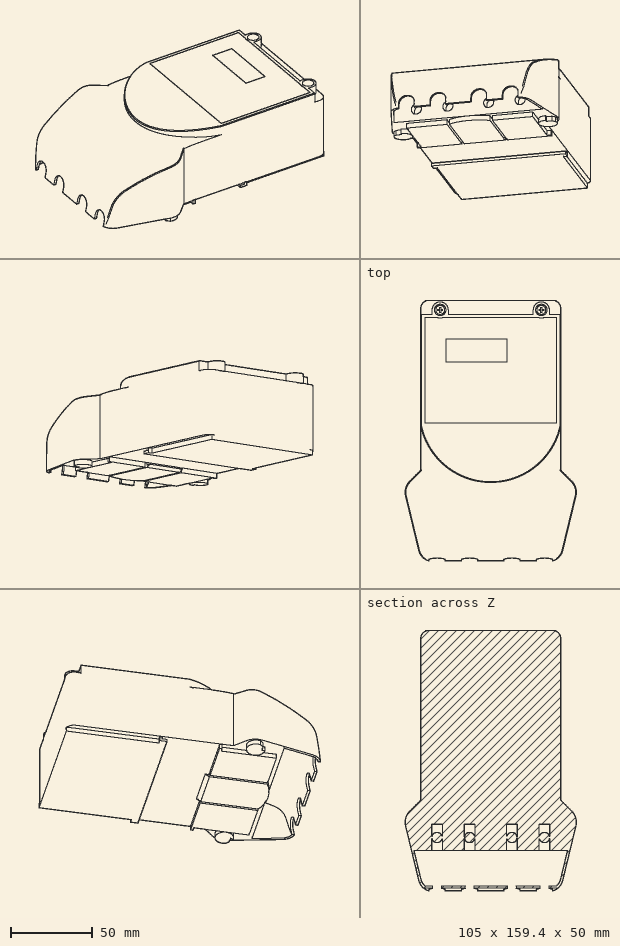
import cadquery as cq
import math

foot_height = 3.0
deck_height = 43.7
total_height = 50.0

rear_y = 79.7
front_y = -79.7
lid_rear_y = 71.1
lid_bend_y = 3.0
lid_tip_y = -31.7
hood_bend_y = -11.5
shoulder_y = -24.2

body_half_width = 42.9
rear_corner_radius = 5.1
hood_half_width_at_front = 42.4
hood_corner_half_width = 53.5
hood_outline_front_y = front_y - 0.5
shoulder_root_half_width = 31.9
shoulder_radius = 9.5
front_corner_radius = 9.2
hood_arc_end = (-68.9, 29.0)
nose_arc_end = (-76.5, 18.8)
hood_edge_chamfer = 0.5
shortest_rim = 1.6

skirt_wall = 1.6
terminal_face_y = -55.0

cable_xs = (-32.9, -12.9, 12.9, 32.9)
notch_radius = 5.0
notch_center_z = 6.4
wire_hole_radius = 3.2
wire_hole_z = 10.5
wire_hole_depth = 16.0
clamp_screw_radius = 3.2
clamp_screw_setback = 8.0

lid_tip_z = 44.0
lid_edge_chamfer = 0.5
panel_half_width = 40.3
panel_front_y = 4.6
panel_rear_y = 69.2
panel_depth = 0.2
window_left_x = -27.5
window_right_x = 10.0
window_front_y = 42.1
window_rear_y = 56.0
window_depth = 0.2

screw_x = 31.0
screw_y = 73.8
boss_radius = 5.0
screw_bore_radius = 3.5
screw_bore_depth = 9.5
screw_head_radius = 2.7
screw_head_height = 1.9
screw_head_rounding = 1.0
cross_length = 3.0
cross_width = 0.8
cross_depth = 1.1

foot_half_width = 39.9
bar_half_width = 42.4
bar_thickness = 1.6
rail_rear_y = 20.3
rail_front_y = -15.6
hook_reach = 3.0
hook_thickness = 1.6
foot_front_y = -51.7
pad_x = 45.8
pad_y = -37.5
pad_radius = 5.7
pad_step_y = -41.3
pad_bevel_x = 49.3
clip_half_width = 12.9
clip_slot_half_width = 14.4
clip_bulge = 3.3
clip_reach = 2.7


def box(x0, x1, y0, y1, z0, z1):
    """Axis-aligned block between two corners."""
    return cq.Workplane("XY").box(x1 - x0, y1 - y0, z1 - z0, centered=False).translate((x0, y0, z0))


def hood_profile():
    """Side profile: flat deck, long falling arc, nose arc and sloping skirt, run on down to the foot."""
    return (
        cq.Workplane("YZ")
        .moveTo(rear_y, 0)
        .lineTo(rear_y, deck_height)
        .lineTo(hood_bend_y, deck_height)
        .tangentArcPoint(hood_arc_end, relative=False)
        .tangentArcPoint(nose_arc_end, relative=False)
        .lineTo(front_y, foot_height)
        .lineTo(front_y, 0)
        .close()
    )


def hood_plan(inset):
    """Extruded plan outline of the terminal hood, shrunk inward by the inset."""
    corner_y = shoulder_y - (hood_corner_half_width - body_half_width)
    root_y = shoulder_y + (body_half_width - shoulder_root_half_width)
    half = [
        (shoulder_root_half_width, root_y),
        (hood_corner_half_width, corner_y),
        (hood_half_width_at_front, hood_outline_front_y),
    ]
    outline = half + [(-x, y) for x, y in reversed(half)]
    height = deck_height - foot_height
    base = cq.Workplane("XY", origin=(0, 0, foot_height))
    plan = base.polyline(outline).close().extrude(height)
    plan = plan.edges("|Z").edges("<X or >X").fillet(shoulder_radius)
    plan = plan.edges("|Z").edges("<Y").fillet(front_corner_radius)
    if inset > 0:
        plan = plan.faces("<Z").wires().toPending().offset2D(-inset).extrude(height, combine=False)
    return plan


def hood_shape(inset):
    """Terminal hood, shrunk inward on the sides, top and front by the inset."""
    profile = hood_profile()
    if inset > 0:
        profile = profile.offset2D(-inset)
    return hood_plan(inset).intersect(profile.extrude(hood_corner_half_width, both=True))


def runs_along_y(edge, min_z):
    """True for an edge longer in Y than the shortest rim edge that has its middle above min_z."""
    return edge.BoundingBox().ylen > shortest_rim and edge.positionAt(0.5).z > min_z


def make_hood():
    """Hollow terminal hood with chamfered flanks, a terminal block inside and cable notches.

    Each wire hole ends at the round flank of an upright clamp screw.
    """
    hood = hood_shape(0)
    flank_edges = [edge for edge in hood.edges().vals() if runs_along_y(edge, notch_center_z)]
    hood = hood.newObject(flank_edges).chamfer(hood_edge_chamfer)
    block = box(
        -hood_corner_half_width, hood_corner_half_width, terminal_face_y, rear_y, 0, deck_height
    )
    hood = hood.cut(hood_shape(skirt_wall).cut(block))
    for x in cable_xs:
        notch = (
            cq.Workplane("XZ", origin=(x, terminal_face_y, 0))
            .moveTo(-notch_radius, 0)
            .lineTo(-notch_radius, notch_center_z)
            .threePointArc((0, notch_center_z + notch_radius), (notch_radius, notch_center_z))
            .lineTo(notch_radius, 0)
            .close()
            .extrude(terminal_face_y - front_y)
        )
        wire_hole = (
            cq.Workplane("XZ", origin=(x, terminal_face_y, wire_hole_z))
            .circle(wire_hole_radius)
            .extrude(-wire_hole_depth)
        )
        clamp_screw = (
            cq.Workplane("XY", origin=(x, terminal_face_y + clamp_screw_setback, 0))
            .circle(clamp_screw_radius)
            .extrude(deck_height)
        )
        hood = hood.cut(notch).cut(wire_hole.cut(clamp_screw))
    return hood


def make_housing():
    """Main box under the lid; its curved front end runs into the hood."""
    plan = box(-body_half_width, body_half_width, shoulder_y, rear_y, foot_height, deck_height)
    plan = plan.edges("|Z and >Y").fillet(rear_corner_radius)
    return plan.intersect(hood_profile().extrude(body_half_width, both=True))


def make_lid():
    """Raised lid with an arched, downward curving front, a sunken panel and a display window."""
    lid_chord_depth = lid_bend_y - lid_tip_y
    arch_radius = (body_half_width**2 + lid_chord_depth**2) / (2 * lid_chord_depth)
    mid_angle = math.asin(body_half_width / arch_radius) / 2
    arch_center_y = lid_tip_y + arch_radius
    arch_mid_x = arch_radius * math.sin(mid_angle)
    arch_mid_y = arch_center_y - arch_radius * math.cos(mid_angle)
    base_z = deck_height - (total_height - deck_height) / 2
    plan = (
        cq.Workplane("XY", origin=(0, 0, base_z))
        .moveTo(body_half_width, lid_rear_y)
        .lineTo(body_half_width, lid_bend_y)
        .threePointArc((arch_mid_x, arch_mid_y), (0, lid_tip_y))
        .threePointArc((-arch_mid_x, arch_mid_y), (-body_half_width, lid_bend_y))
        .lineTo(-body_half_width, lid_rear_y)
        .close()
        .extrude(total_height - base_z)
    )
    profile = (
        cq.Workplane("YZ")
        .moveTo(lid_rear_y, base_z)
        .lineTo(lid_rear_y, total_height)
        .lineTo(lid_bend_y, total_height)
        .tangentArcPoint((lid_tip_y, lid_tip_z), relative=False)
        .lineTo(front_y, lid_tip_z)
        .lineTo(front_y, base_z)
        .close()
    )
    lid = plan.intersect(profile.extrude(body_half_width, both=True))
    edges = lid.edges().vals()
    front_rim = [edge for edge in edges if edge.geomType() != "LINE" and runs_along_y(edge, deck_height)]
    lid = lid.newObject(front_rim).chamfer(lid_edge_chamfer)
    trim = box(-body_half_width, body_half_width, lid_tip_y, lid_rear_y, base_z, total_height)
    lid = lid.intersect(trim.edges("|Y and >Z").chamfer(lid_edge_chamfer))
    panel_floor_z = total_height - panel_depth
    panel = box(
        -panel_half_width, panel_half_width, panel_front_y, panel_rear_y, panel_floor_z, total_height
    )
    window = box(
        window_left_x,
        window_right_x,
        window_front_y,
        window_rear_y,
        panel_floor_z - window_depth,
        total_height,
    )
    return lid.cut(panel).cut(window)


def screw_boss(x):
    """Round post joined to the rear of the lid by straight flanks."""
    post = cq.Workplane("XY", origin=(x, screw_y, deck_height)).circle(boss_radius)
    post = post.extrude(total_height - deck_height)
    web = box(x - boss_radius, x + boss_radius, lid_rear_y, screw_y, deck_height, total_height)
    return post.union(web)


def screw_bore(x):
    """Bore with the domed, cross-slotted screw head left standing on its floor."""
    floor_z = total_height - screw_bore_depth
    bore = cq.Workplane("XY", origin=(x, screw_y, floor_z)).circle(screw_bore_radius)
    bore = bore.extrude(screw_bore_depth)
    head = cq.Workplane("XY", origin=(x, screw_y, floor_z)).circle(screw_head_radius)
    head = head.extrude(screw_head_height).faces(">Z").edges().fillet(screw_head_rounding)
    cross_plane = cq.Workplane("XY", origin=(x, screw_y, floor_z + screw_head_height - cross_depth))
    for size in ((cross_length, cross_width), (cross_width, cross_length)):
        head = head.cut(cross_plane.rect(*size).extrude(cross_depth))
    return bore.cut(head)


def make_rear_foot():
    """Rear plate ending in a bar with a hook that reaches under the rail."""
    plate = box(-foot_half_width, foot_half_width, rail_rear_y, rear_y, 0, foot_height)
    bar = box(-bar_half_width, bar_half_width, rail_rear_y, rail_rear_y + bar_thickness, 0, foot_height)
    hook = box(-bar_half_width, bar_half_width, rail_rear_y - hook_reach, rail_rear_y, 0, hook_thickness)
    return plate.union(bar).union(hook)


def corner_pad():
    """Round pad under the +X shoulder, stepped back and bevelled at 45 degrees on its outer front."""
    pad = cq.Workplane("XY").center(pad_x, pad_y).circle(pad_radius).extrude(foot_height)
    bevel = pad_radius
    relief = (
        cq.Workplane("XY")
        .moveTo(pad_x, pad_y - pad_radius)
        .lineTo(pad_x, pad_step_y)
        .lineTo(pad_bevel_x, pad_step_y)
        .lineTo(pad_bevel_x + bevel, pad_step_y + bevel)
        .lineTo(pad_bevel_x + bevel, pad_y - pad_radius)
        .close()
        .extrude(foot_height)
    )
    return pad.cut(relief)


def make_front_foot():
    """Front plate with a bar at the rail, a slot for the clip and a round pad at each shoulder."""
    plate = box(-foot_half_width, foot_half_width, foot_front_y, rail_front_y, 0, foot_height)
    slot = box(-clip_slot_half_width, clip_slot_half_width, foot_front_y, rail_front_y, 0, foot_height)
    bar = box(-bar_half_width, bar_half_width, rail_front_y - bar_thickness, rail_front_y, 0, foot_height)
    pad = corner_pad()
    return plate.union(bar).cut(slot).union(pad).union(pad.mirror("YZ"))


def make_rail_clip():
    """Sliding clip with a bowed front end and a wedge that catches the rail."""
    body = (
        cq.Workplane("XY")
        .moveTo(clip_half_width, rail_front_y)
        .lineTo(clip_half_width, foot_front_y)
        .threePointArc((0, foot_front_y - clip_bulge), (-clip_half_width, foot_front_y))
        .lineTo(-clip_half_width, rail_front_y)
        .close()
        .extrude(foot_height)
    )
    wedge = (
        cq.Workplane("YZ")
        .moveTo(rail_front_y, 0)
        .lineTo(rail_front_y, hook_thickness)
        .lineTo(rail_front_y + clip_reach, hook_thickness)
        .close()
        .extrude(clip_half_width, both=True)
    )
    return body.union(wedge)


result = make_housing().union(make_hood()).union(make_lid())
for x in (-screw_x, screw_x):
    result = result.union(screw_boss(x)).cut(screw_bore(x))
for part in (make_rear_foot(), make_front_foot(), make_rail_clip()):
    result = result.union(part)